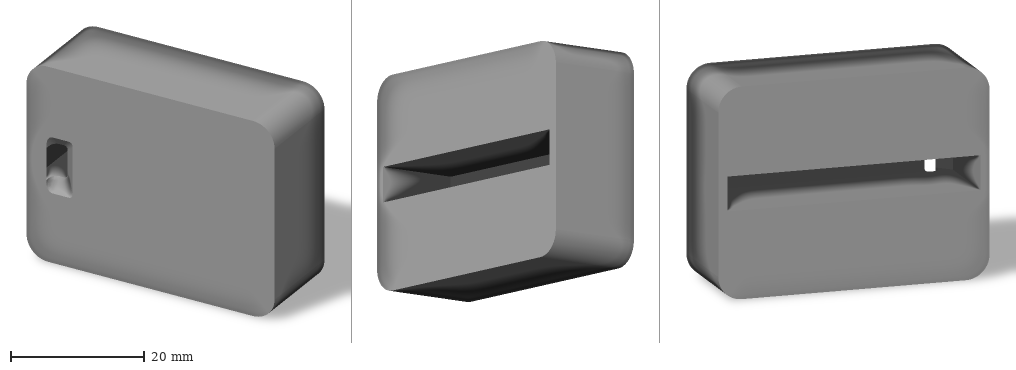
import cadquery as cq

width = 43.0
depth = 15.0
height = 33.0
corner_radius = 3.75
front_wall = 2.0

window_left = 3.5
window_width = 4.5
window_height = 9.45
window_corner_radius = 1.0

passage_height = window_height - 2 * front_wall
passage_width = width - 2 * (window_left - front_wall)

front_y = -depth / 2
inner_y = front_y + front_wall
left_x = -width / 2 + window_left


def window_cutter():
    """Tapering opening through the front wall, with its four slanted edges rounded."""
    opening = (
        cq.Workplane("XZ", origin=(left_x, front_y, 0))
        .center(window_width / 2, 0)
        .rect(window_width, window_height)
        .workplane(offset=-front_wall)
        .center(-front_wall / 2, 0)
        .rect(window_width - front_wall, passage_height)
        .loft(ruled=True)
    )
    return opening.edges("not(|X or |Z)").fillet(window_corner_radius)


def undercut_cutter():
    """Flare widening the -X side of the window at 45 degrees from the front face to the passage."""
    return (
        cq.Workplane("XY", origin=(0, 0, -passage_height / 2))
        .moveTo(left_x, front_y)
        .lineTo(left_x + window_corner_radius, front_y)
        .lineTo(left_x + window_corner_radius, inner_y)
        .lineTo(left_x - front_wall, inner_y)
        .close()
        .extrude(passage_height)
    )


def passage_cutter():
    """Channel from behind the front wall out through the back."""
    passage = cq.Workplane("XY").box(passage_width, depth, passage_height)
    return passage.translate((0, front_wall, 0))


case = cq.Workplane("XY").box(width, depth, height)
case = case.edges("|Y").fillet(corner_radius)
case = case.cut(passage_cutter())
case = case.cut(window_cutter())
result = case.cut(undercut_cutter())